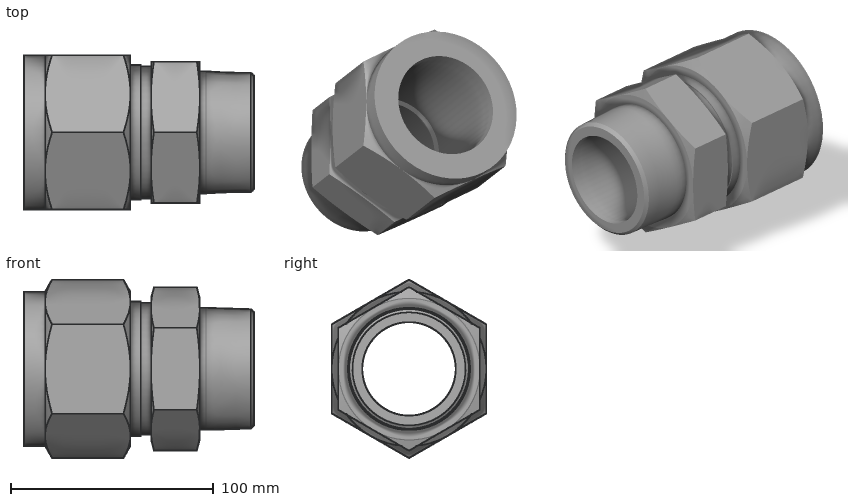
import cadquery as cq
import math

flange_length = 10.5
nut_length = 42.0
collar_length = 5.2
neck_length = 5.0
body_hex_length = 24.0
thread_relief_length = 3.0
overall_length = 113.53

hex_sides = 6
nut_across_flats = 76.2
body_across_flats = 69.85
collar_diameter = 66.6
neck_diameter = 65.3
thread_diameter = 60.325
thread_taper = 1 / 16
thread_end_chamfer = 1.6

nut_chamfer_angle = 30.0
body_chamfer_angle = 15.0

bore_diameter = 45.97
tube_diameter = 50.8
tube_socket_depth = 67.6

nut_start = flange_length
collar_start = nut_start + nut_length
neck_start = collar_start + collar_length
body_hex_start = neck_start + neck_length
relief_start = body_hex_start + body_hex_length
thread_start = relief_start + thread_relief_length


def revolve_about_x(points):
    """Solid of revolution from (x, radius) points."""
    return cq.Workplane("XZ").polyline(points).close().revolve(360, (0, 0, 0), (1, 0, 0))


def cylinder(start, length, diameter):
    """Round section along X."""
    radius = diameter / 2
    end = start + length
    return revolve_about_x([(start, 0), (start, radius), (end, radius), (end, 0)])


def chamfered_hex(start, length, across_flats, chamfer_angle):
    """Hexagon along X with corners up and down, and conical chamfers on both ends."""
    flat_radius = across_flats / 2
    corner_radius = flat_radius / math.cos(math.pi / hex_sides)
    chamfer_length = (corner_radius - flat_radius) * math.tan(math.radians(chamfer_angle))
    end = start + length
    prism = (
        cq.Workplane("YZ", origin=(start, 0, 0))
        .transformed(rotate=(0, 0, 90))
        .polygon(hex_sides, 2 * corner_radius)
        .extrude(length)
    )
    chamfer_envelope = revolve_about_x([
        (start, 0),
        (start, flat_radius),
        (start + chamfer_length, corner_radius),
        (end - chamfer_length, corner_radius),
        (end, flat_radius),
        (end, 0),
    ])
    return prism.intersect(chamfer_envelope)


def tapered_thread():
    """Plain tapered pipe thread envelope with a chamfered free end."""
    start_radius = thread_diameter / 2
    chamfer_start = overall_length - thread_end_chamfer
    chamfer_radius = start_radius - (chamfer_start - thread_start) * thread_taper / 2
    return revolve_about_x([
        (thread_start, 0),
        (thread_start, start_radius),
        (chamfer_start, chamfer_radius),
        (overall_length, chamfer_radius - thread_end_chamfer),
        (overall_length, 0),
    ])


fitting = cylinder(0, flange_length, nut_across_flats)
fitting = fitting.union(chamfered_hex(nut_start, nut_length, nut_across_flats, nut_chamfer_angle))
fitting = fitting.union(cylinder(collar_start, collar_length, collar_diameter))
fitting = fitting.union(cylinder(neck_start, neck_length, neck_diameter))
fitting = fitting.union(
    chamfered_hex(body_hex_start, body_hex_length, body_across_flats, body_chamfer_angle)
)
fitting = fitting.union(cylinder(relief_start, thread_relief_length, thread_diameter))
fitting = fitting.union(tapered_thread())

fitting = fitting.cut(cylinder(0, overall_length, bore_diameter))
result = fitting.cut(cylinder(0, tube_socket_depth, tube_diameter))